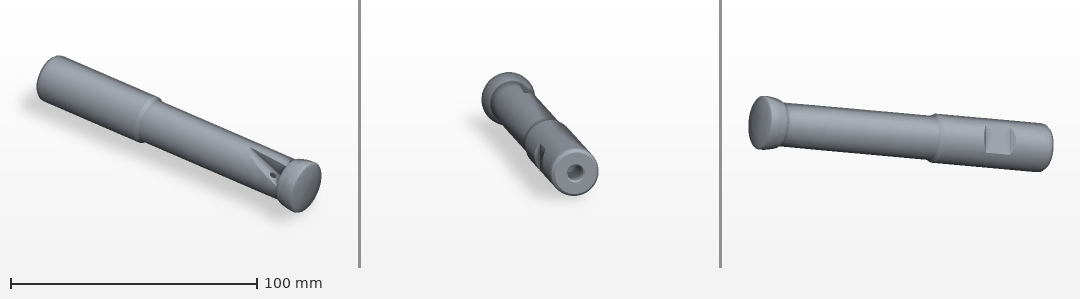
import cadquery as cq
import math

OVERALL_LENGTH = 130.0

SHANK_DIAMETER = 20.0
SHANK_LENGTH = 50.0
END_FACE_DIAMETER = 17.4
END_CHAMFER_LENGTH = 1.3
LEAD_DIAMETER = 19.6
LEAD_END = 2.5
SHOULDER_LENGTH = 1.7
CLAMP_FLAT_CENTRE = 25.0
CLAMP_FLAT_LENGTH = 11.0
CLAMP_FLAT_DEPTH = 1.8

BORE_DIAMETER = 6.5
BORE_MOUTH_DIAMETER = 7.6
BORE_DEPTH = 15.0
DRILL_POINT_ANGLE = 118.0

NECK_DIAMETER = 18.0
TAPER_START = 103.0
NECK_END = 121.0
TAPER_END_DIAMETER = 17.85

HEAD_START = 120.25
HEAD_DIAMETER = 22.0
HEAD_OUTLINE = [
    (HEAD_START, 0.0),
    (120.3, 8.4),
    (120.45, 9.2),
    (121.2, 9.85),
    (123.0, 10.4),
    (125.5, 10.88),
    (127.3, HEAD_DIAMETER / 2),
    (128.6, 10.8),
    (129.15, 9.9),
    (129.6, 7.9),
    (OVERALL_LENGTH, 0.0),
]

FLUTE_START = 99.7
FLUTE_FLOOR_SLOPE = 21.6
FLUTE_FLOOR_TILT = 9.5
FLUTE_WALL_ANGLE = 4.2
FLUTE_WALL_START_Y = -0.6
FLUTE_ROUNDING = 0.5

COOLANT_DIAMETER = 3.0
COOLANT_CENTRE = (115.5, -4.5)
COOLANT_DEPTH = 8.0

RELIEF_DIAMETER = 2.0
RELIEF_CENTRE = (120.5, 1.4)
RELIEF_DEPTH = 3.0


def make_shank_and_neck():
    """Turned body from the clamping end to just inside the head."""
    shank_radius = SHANK_DIAMETER / 2
    neck_radius = NECK_DIAMETER / 2
    return (
        cq.Workplane("XY")
        .moveTo(0, 0)
        .lineTo(0, END_FACE_DIAMETER / 2)
        .lineTo(END_CHAMFER_LENGTH, LEAD_DIAMETER / 2)
        .lineTo(LEAD_END, shank_radius)
        .lineTo(SHANK_LENGTH, shank_radius)
        .lineTo(SHANK_LENGTH + SHOULDER_LENGTH, neck_radius)
        .lineTo(TAPER_START, neck_radius)
        .lineTo(NECK_END, TAPER_END_DIAMETER / 2)
        .lineTo(NECK_END, 0)
        .close()
        .revolve(360, (0, 0, 0), (1, 0, 0))
    )


def make_head():
    """Turned head: one smooth outline that leaves and meets the axis squarely."""
    return (
        cq.Workplane("XY")
        .moveTo(*HEAD_OUTLINE[0])
        .spline(HEAD_OUTLINE[1:], tangents=[(0, 1), (0, -1)], includeCurrent=True)
        .close()
        .revolve(360, (0, 0, 0), (1, 0, 0))
    )


def make_end_bore():
    """Blind hole with a countersunk mouth and a drill-point bottom."""
    bore_radius = BORE_DIAMETER / 2
    mouth_radius = BORE_MOUTH_DIAMETER / 2
    point_length = bore_radius / math.tan(math.radians(DRILL_POINT_ANGLE / 2))
    return (
        cq.Workplane("XY")
        .moveTo(0, 0)
        .lineTo(0, mouth_radius)
        .lineTo(mouth_radius - bore_radius, bore_radius)
        .lineTo(BORE_DEPTH, bore_radius)
        .lineTo(BORE_DEPTH + point_length, 0)
        .close()
        .revolve(360, (0, 0, 0), (1, 0, 0))
    )


def make_clamp_flat():
    """Flat on the +Y side of the shank with 45 degree run-outs."""
    flat_y = SHANK_DIAMETER / 2 - CLAMP_FLAT_DEPTH
    half_floor = CLAMP_FLAT_LENGTH / 2
    cutter_height = 2 * CLAMP_FLAT_DEPTH
    half_mouth = half_floor + cutter_height
    return (
        cq.Workplane("XY")
        .moveTo(CLAMP_FLAT_CENTRE - half_floor, flat_y)
        .lineTo(CLAMP_FLAT_CENTRE + half_floor, flat_y)
        .lineTo(CLAMP_FLAT_CENTRE + half_mouth, flat_y + cutter_height)
        .lineTo(CLAMP_FLAT_CENTRE - half_mouth, flat_y + cutter_height)
        .close()
        .extrude(SHANK_DIAMETER / 2, both=True)
    )


def flute_floor_z(x, y):
    """Height of the flute floor: it falls towards the head and towards the wall."""
    fall_along_x = (x - FLUTE_START) * math.tan(math.radians(FLUTE_FLOOR_SLOPE))
    fall_along_y = (y - FLUTE_WALL_START_Y) * math.tan(math.radians(FLUTE_FLOOR_TILT))
    return NECK_DIAMETER / 2 - fall_along_x - fall_along_y


def flute_wall_y(x):
    """Position of the upright flute wall at a station along the tool."""
    return FLUTE_WALL_START_Y - (x - FLUTE_START) * math.tan(math.radians(FLUTE_WALL_ANGLE))


def flute_section(x, top_z):
    """Closed cross-section of the flute at station x, open to the -Y side."""
    wall_y = flute_wall_y(x)
    outer_y = -SHANK_DIAMETER
    corners = [
        (x, wall_y, flute_floor_z(x, wall_y)),
        (x, outer_y, flute_floor_z(x, outer_y)),
        (x, outer_y, top_z),
        (x, wall_y, top_z),
    ]
    return cq.Wire.makePolygon([cq.Vector(*corner) for corner in corners], close=True)


def make_flute():
    """Space above the sloping floor and on the -Y side of the wall."""
    top_z = 2 * SHANK_DIAMETER
    back_x = FLUTE_START - NECK_DIAMETER / 2
    front_x = OVERALL_LENGTH
    sections = [flute_section(x, top_z) for x in (back_x, front_x)]
    flute = cq.Workplane(obj=cq.Solid.makeLoft(sections, True))
    middle_x = (back_x + front_x) / 2
    wall_y = flute_wall_y(middle_x)
    corner_point = (middle_x, wall_y, flute_floor_z(middle_x, wall_y))
    inner_corner = cq.selectors.NearestToPointSelector(corner_point)
    return flute.edges(inner_corner).fillet(FLUTE_ROUNDING)


def make_coolant_hole():
    """Blind hole drilled square to the flute floor."""
    x, y = COOLANT_CENTRE
    mouth = cq.Vector(x, y, flute_floor_z(x, y))
    into_floor = cq.Vector(
        -math.tan(math.radians(FLUTE_FLOOR_SLOPE)),
        -math.tan(math.radians(FLUTE_FLOOR_TILT)),
        -1,
    )
    return cq.Workplane(
        obj=cq.Solid.makeCylinder(COOLANT_DIAMETER / 2, COOLANT_DEPTH, mouth, into_floor)
    )


def make_relief_hole():
    """Blind hole drilled straight down into the top of the neck."""
    bottom_z = NECK_DIAMETER / 2 - RELIEF_DEPTH
    return (
        cq.Workplane("XY", origin=(*RELIEF_CENTRE, bottom_z))
        .circle(RELIEF_DIAMETER / 2)
        .extrude(2 * RELIEF_DEPTH)
    )


body = make_shank_and_neck()
body = body.cut(make_clamp_flat())
body = body.cut(make_end_bore())
body = body.cut(make_flute())
body = body.cut(make_coolant_hole())
body = body.cut(make_relief_hole())
result = body.union(make_head())